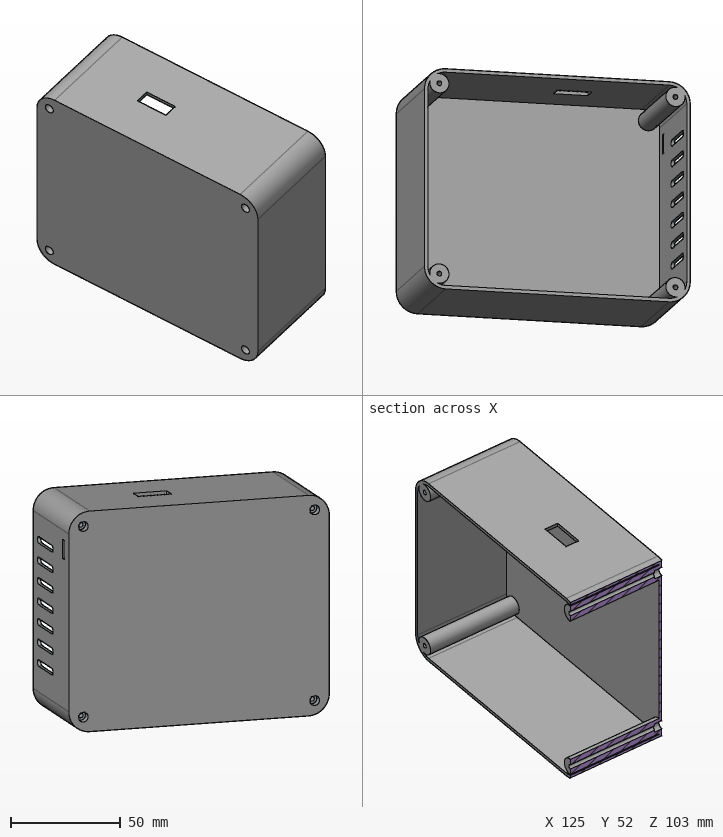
import cadquery as cq

width = 125.0
depth = 52.0
height = 103.0
corner_radius = 10.0
wall = 1.65

screw_inset = 7.0
screw_diameter = 2.2
head_diameter = 4.5
head_depth = 4.0
post_diameter = 2 * head_diameter

window_width = 16.0
window_depth = 7.1
window_left = 40.6
window_front = 22.2

vent_count = 7
vent_pitch = 9.57
vent_length = 22.3
vent_height = 3.0
vent_center_y = 34.35
vent_middle_z = 52.2

slot_width = 2.1
slot_height = 8.85
slot_front = 7.0
slot_bottom = 79.7


def rounded_block(inset, front, back):
    """Block along Y with rounded corners, inset from the outer outline."""
    return (
        cq.Workplane("XY", origin=(inset, front, inset))
        .box(width - 2 * inset, back - front, height - 2 * inset, centered=False)
        .edges("|Y")
        .fillet(corner_radius - inset)
    )


def corner_rods(diameter, front, back):
    """Four cylinders along Y on the screw axes."""
    return (
        cq.Workplane("XZ", origin=(width / 2, front, height / 2))
        .rect(width - 2 * screw_inset, height - 2 * screw_inset, forConstruction=True)
        .vertices()
        .circle(diameter / 2)
        .extrude(front - back)
    )


def top_window():
    """Rectangular opening through the top wall."""
    corner = (window_left, window_front, height - wall)
    return cq.Workplane("XY", origin=corner).box(window_width, window_depth, wall, centered=False)


def side_vents():
    """Column of rounded vents through the left wall."""
    first_z = vent_middle_z - vent_pitch * (vent_count - 1) / 2
    centers = [(vent_center_y, first_z + i * vent_pitch) for i in range(vent_count)]
    return cq.Workplane("YZ").pushPoints(centers).slot2D(vent_length, vent_height).extrude(wall)


def side_slot():
    """Narrow upright opening through the left wall."""
    corner = (0, slot_front, slot_bottom)
    return cq.Workplane("XY", origin=corner).box(wall, slot_width, slot_height, centered=False)


def make_housing():
    """Open-backed box with corner screw posts, window, vents and slot."""
    shell = rounded_block(0, 0, depth).cut(rounded_block(wall, wall, depth))
    body = shell.union(corner_rods(post_diameter, wall, depth))
    body = body.cut(corner_rods(screw_diameter, 0, depth))
    body = body.cut(corner_rods(head_diameter, 0, head_depth))
    return body.cut(top_window()).cut(side_vents()).cut(side_slot()).solids()


housing = make_housing()

result = cq.Compound.makeCompound([housing.val()])